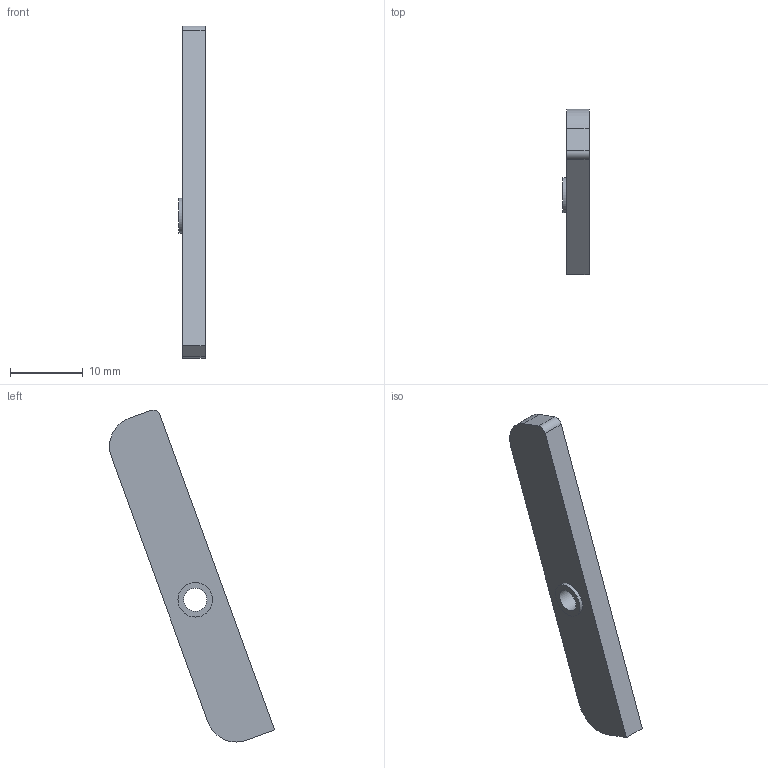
import cadquery as cq
import math

total_thickness = 3.6
boss_height = 0.5
plate_thickness = total_thickness - boss_height
plate_width = 8.2
length_above_hole = 26.5
length_below_hole = 20.5
tilt_angle = 20.0
large_corner_radius = 4.1
small_corner_radius = 1.0
boss_diameter = 4.75
hole_diameter = 3.15

half_width = plate_width / 2
diagonal = math.sqrt(0.5)


def plate():
    """Flat bar along Z with its hole axis on X and three rounded corners."""
    top = length_above_hole
    bottom = -length_below_hole
    large = large_corner_radius
    small = small_corner_radius
    large_mid = large * (1 - diagonal)
    small_mid = small * (1 - diagonal)
    outline = (
        cq.Workplane("YZ")
        .moveTo(-half_width, bottom)
        .lineTo(-half_width, top - small)
        .threePointArc((-half_width + small_mid, top - small_mid), (-half_width + small, top))
        .lineTo(half_width - large, top)
        .threePointArc((half_width - large_mid, top - large_mid), (half_width, top - large))
        .lineTo(half_width, bottom + large)
        .threePointArc((half_width - large_mid, bottom + large_mid), (half_width - large, bottom))
        .close()
    )
    return outline.extrude(plate_thickness)


def boss():
    """Low round collar around the hole on the -X face."""
    return cq.Workplane("YZ").circle(boss_diameter / 2).extrude(-boss_height)


def through_hole():
    """Cylinder that runs through the boss and the plate."""
    return (
        cq.Workplane("YZ", origin=(-boss_height, 0, 0))
        .circle(hole_diameter / 2)
        .extrude(total_thickness)
    )


bar = plate().union(boss()).cut(through_hole())
result = bar.rotate((0, 0, 0), (1, 0, 0), -tilt_angle)